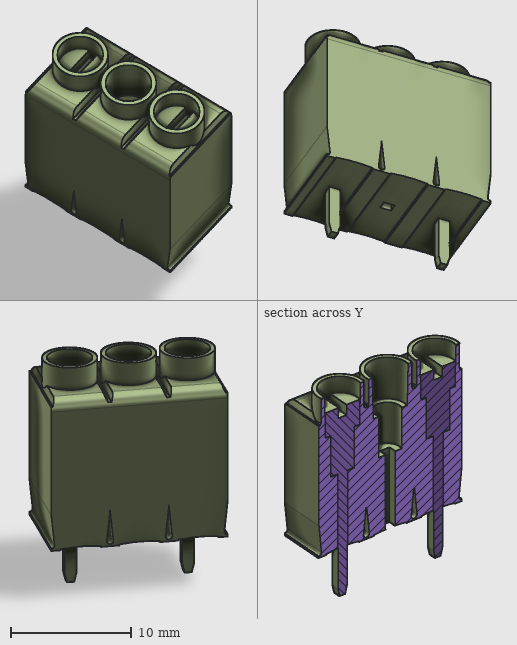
import cadquery as cq


POLES = 3
LENGTH = 15.0
PITCH = LENGTH / POLES
HALF_POLE = PITCH / 2
DEPTH = 8.5
HOUSING_TOP = 13.45
TOP_EDGE_RADIUS = 1.0

GROOVE_FLOOR = 12.85
GROOVE_HALF_FLOOR = 0.14
GROOVE_HALF_TOP = 0.38

RELIEF_TOP = 3.2
RELIEF_BOTTOM = 0.48
RELIEF_DEPTH = 0.28
FOOT_HEIGHT = RELIEF_BOTTOM - RELIEF_DEPTH

FOOT_HALF_LENGTH = 0.75
FOOT_CHAMFER = 0.1
ARCH_RISE = 0.1

COLLAR_TOP = 15.45
COLLAR_DIAMETER = 4.6
BORE_TOP_DIAMETER = 3.8
BORE_FLOOR_DIAMETER = 3.6
BORE_FLOOR = 11.45
SHANK_DIAMETER = 2.5
SHANK_FLOOR = 7.46

CONTACT_POLES = (-1, 1)
HEAD_TOP = 13.87
SLOT_WIDTH = 0.8
SLOT_DEPTH = 1.0
PIN_WIDTH = 1.0
PIN_THICKNESS = 0.75
PIN_END = -4.5
PIN_TIP_WIDTH = 0.6
PIN_TIP_LENGTH = 0.8


def pole_block(x):
    """One pole of the housing: a symmetric front outline, extruded through the depth."""
    arch_half = HALF_POLE - FOOT_HALF_LENGTH - FOOT_CHAMFER
    relief_x = HALF_POLE - RELIEF_DEPTH
    arc_offset = RELIEF_DEPTH * (1 - 0.5**0.5)
    arc_middle = (relief_x + arc_offset, FOOT_HEIGHT + arc_offset)
    outline = (
        cq.Workplane("XZ", origin=(x, DEPTH / 2, 0))
        .moveTo(-arch_half, FOOT_CHAMFER)
        .threePointArc((0, FOOT_CHAMFER + ARCH_RISE), (arch_half, FOOT_CHAMFER))
        .lineTo(HALF_POLE - FOOT_HALF_LENGTH, 0)
        .lineTo(HALF_POLE, 0)
        .lineTo(HALF_POLE, FOOT_HEIGHT)
        .threePointArc(arc_middle, (relief_x, RELIEF_BOTTOM))
        .lineTo(HALF_POLE, RELIEF_TOP)
        .lineTo(HALF_POLE, GROOVE_FLOOR)
        .lineTo(HALF_POLE - GROOVE_HALF_FLOOR, GROOVE_FLOOR)
        .lineTo(HALF_POLE - GROOVE_HALF_TOP, HOUSING_TOP)
        .lineTo(-HALF_POLE + GROOVE_HALF_TOP, HOUSING_TOP)
        .lineTo(-HALF_POLE + GROOVE_HALF_FLOOR, GROOVE_FLOOR)
        .lineTo(-HALF_POLE, GROOVE_FLOOR)
        .lineTo(-HALF_POLE, RELIEF_TOP)
        .lineTo(-relief_x, RELIEF_BOTTOM)
        .threePointArc((-arc_middle[0], arc_middle[1]), (-HALF_POLE, FOOT_HEIGHT))
        .lineTo(-HALF_POLE, 0)
        .lineTo(-HALF_POLE + FOOT_HALF_LENGTH, 0)
        .close()
    )
    return outline.extrude(DEPTH)


def rounded_envelope():
    """Block with the two long top edges rounded, which limits the pole blocks."""
    return (
        cq.Workplane("XY")
        .box(LENGTH, DEPTH, HOUSING_TOP, centered=(True, True, False))
        .edges("|X and >Z")
        .fillet(TOP_EDGE_RADIUS)
    )


def collar(x):
    return (
        cq.Workplane("XY", origin=(x, 0, GROOVE_FLOOR))
        .circle(COLLAR_DIAMETER / 2)
        .extrude(COLLAR_TOP - GROOVE_FLOOR)
    )


def pin_bar(x, bottom):
    """Rectangular bar from the given bottom up to the floor of the shank bore."""
    return (
        cq.Workplane("XY", origin=(x, 0, bottom))
        .rect(PIN_WIDTH, PIN_THICKNESS)
        .extrude(SHANK_FLOOR - bottom)
    )


def stepped_bore(x):
    """Tapered screw-head bore over a cylindrical shank bore."""
    return (
        cq.Workplane("XZ", origin=(x, 0, 0))
        .moveTo(0, SHANK_FLOOR)
        .lineTo(SHANK_DIAMETER / 2, SHANK_FLOOR)
        .lineTo(SHANK_DIAMETER / 2, BORE_FLOOR)
        .lineTo(BORE_FLOOR_DIAMETER / 2, BORE_FLOOR)
        .lineTo(BORE_TOP_DIAMETER / 2, COLLAR_TOP)
        .lineTo(0, COLLAR_TOP)
        .close()
        .revolve(360, (0, 0, 0), (0, 1, 0))
    )


def make_housing():
    pole_places = [(i - (POLES - 1) / 2) * PITCH for i in range(POLES)]
    body = pole_block(pole_places[0])
    for x in pole_places[1:]:
        body = body.union(pole_block(x))
    body = body.intersect(rounded_envelope())
    for x in pole_places:
        body = body.union(collar(x))
    for x in pole_places:
        body = body.cut(stepped_bore(x)).cut(pin_bar(x, 0))
    return body.clean()


def pin_tip(x):
    """Tapered end of a solder pin, narrowing along X only."""
    return (
        cq.Workplane("XZ", origin=(x, PIN_THICKNESS / 2, PIN_END))
        .moveTo(-PIN_TIP_WIDTH / 2, 0)
        .lineTo(PIN_TIP_WIDTH / 2, 0)
        .lineTo(PIN_WIDTH / 2, PIN_TIP_LENGTH)
        .lineTo(-PIN_WIDTH / 2, PIN_TIP_LENGTH)
        .close()
        .extrude(PIN_THICKNESS)
    )


def make_contact(x):
    """Slotted screw that fills the bore up to its head top, with its solder pin below."""
    above_head = (
        cq.Workplane("XY", origin=(x, 0, HEAD_TOP))
        .circle(COLLAR_DIAMETER / 2)
        .extrude(COLLAR_TOP - HEAD_TOP)
    )
    slot = (
        cq.Workplane("XY", origin=(x, 0, HEAD_TOP - SLOT_DEPTH))
        .rect(SLOT_WIDTH, COLLAR_DIAMETER)
        .extrude(SLOT_DEPTH)
    )
    screw = stepped_bore(x).cut(above_head).cut(slot)
    return screw.union(pin_bar(x, PIN_END + PIN_TIP_LENGTH)).union(pin_tip(x))


housing = make_housing()
contacts = [make_contact(side * PITCH) for side in CONTACT_POLES]

result = cq.Compound.makeCompound([housing.val(), *(contact.val() for contact in contacts)])